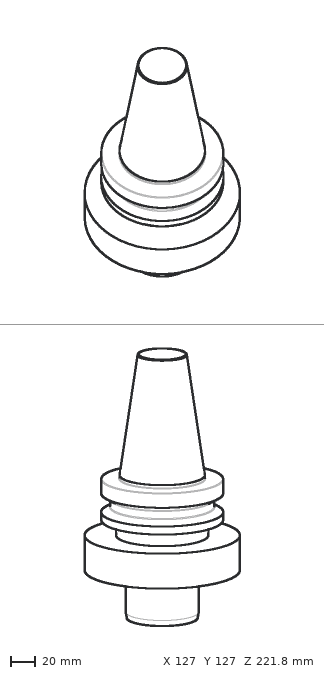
import cadquery as cq
import math


gauge_diameter = 69.85
taper_length = 101.8
taper_ratio = 7 / 24
taper_tip_chamfer = 0.75

collar_diameter = 70.0
collar_fillet = 0.6

flange_diameter = 99.96
flange_top_z = -3.0
flange_bottom_z = -38.0
flange_edge_fillet = 0.65
groove_diameter = 85.0
groove_center_z = -23.2
groove_root_width = 7.1
groove_root_fillet = 1.0
groove_wall_angle = 30.0

neck_diameter = 75.5
disc_diameter = 127.0
disc_top_z = -50.6
disc_bottom_z = -80.0
pilot_diameter = 60.0
pilot_bottom_z = -120.0
pilot_lead_in_height = 5.0
pilot_lead_in_depth = 0.9

gauge_radius = gauge_diameter / 2
tip_radius = gauge_radius - taper_length * taper_ratio / 2
chamfer_radius = tip_radius + taper_tip_chamfer * taper_ratio / 2
collar_radius = collar_diameter / 2
flange_radius = flange_diameter / 2
groove_radius = groove_diameter / 2
groove_root_top_z = groove_center_z + groove_root_width / 2
groove_root_bottom_z = groove_center_z - groove_root_width / 2
wall_slope = math.radians(groove_wall_angle)
groove_wall_height = (flange_radius - groove_radius) * math.tan(wall_slope)
root_fillet_length = groove_root_fillet * math.tan((math.pi / 2 - wall_slope) / 2)
fillet_wall_radius = groove_radius + root_fillet_length * math.cos(wall_slope)
fillet_wall_rise = root_fillet_length * math.sin(wall_slope)
neck_radius = neck_diameter / 2
disc_radius = disc_diameter / 2
pilot_radius = pilot_diameter / 2


def draw_taper(sketch):
    """Tip face, tip chamfer and cone, down to the gauge plane."""
    return (
        sketch.moveTo(0, taper_length)
        .lineTo(chamfer_radius - taper_tip_chamfer, taper_length)
        .lineTo(chamfer_radius, taper_length - taper_tip_chamfer)
        .lineTo(gauge_radius, 0)
    )


def draw_collar(sketch):
    """Small step at the gauge plane, cylinder and fillet onto the flange face."""
    return (
        sketch.lineTo(collar_radius, 0)
        .lineTo(collar_radius, flange_top_z + collar_fillet)
        .radiusArc((collar_radius + collar_fillet, flange_top_z), -collar_fillet)
    )


def draw_flange(sketch):
    """Flange with rounded outer edges and the V-groove around it."""
    return (
        sketch.lineTo(flange_radius - flange_edge_fillet, flange_top_z)
        .radiusArc((flange_radius, flange_top_z - flange_edge_fillet), flange_edge_fillet)
        .lineTo(flange_radius, groove_root_top_z + groove_wall_height)
        .lineTo(fillet_wall_radius, groove_root_top_z + fillet_wall_rise)
        .radiusArc((groove_radius, groove_root_top_z - root_fillet_length), -groove_root_fillet)
        .lineTo(groove_radius, groove_root_bottom_z + root_fillet_length)
        .radiusArc((fillet_wall_radius, groove_root_bottom_z - fillet_wall_rise), -groove_root_fillet)
        .lineTo(flange_radius, groove_root_bottom_z - groove_wall_height)
        .lineTo(flange_radius, flange_bottom_z + flange_edge_fillet)
        .radiusArc((flange_radius - flange_edge_fillet, flange_bottom_z), flange_edge_fillet)
    )


def draw_body(sketch):
    """Neck, disc and pilot with its tapered lead-in, down to the bottom face."""
    return (
        sketch.lineTo(neck_radius, flange_bottom_z)
        .lineTo(neck_radius, disc_top_z)
        .lineTo(disc_radius, disc_top_z)
        .lineTo(disc_radius, disc_bottom_z)
        .lineTo(pilot_radius, disc_bottom_z)
        .lineTo(pilot_radius, pilot_bottom_z + pilot_lead_in_height)
        .lineTo(pilot_radius - pilot_lead_in_depth, pilot_bottom_z)
        .lineTo(0, pilot_bottom_z)
    )


half_section = cq.Workplane("XZ")
for draw_section in (draw_taper, draw_collar, draw_flange, draw_body):
    half_section = draw_section(half_section)

result = half_section.close().revolve(360, (0, 0, 0), (0, 1, 0))